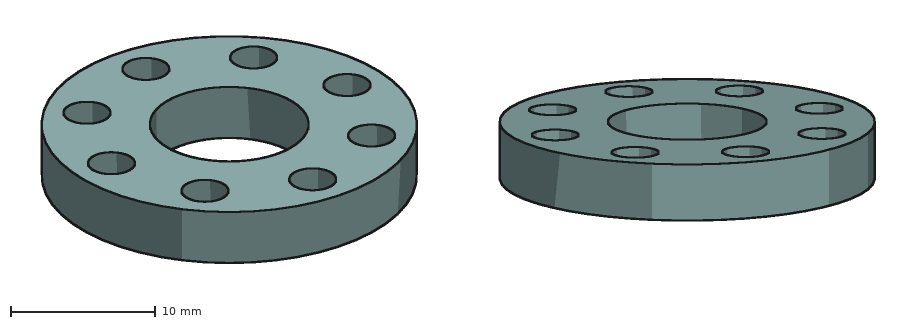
import cadquery as cq

outer_diameter = 26.0
thickness = 4.0
bore_diameter = 11.0

bolt_hole_count = 8
bolt_hole_diameter = 3.25
bolt_circle_diameter = 20.0

ring = (
    cq.Workplane("XY")
    .circle(outer_diameter / 2)
    .circle(bore_diameter / 2)
    .extrude(thickness)
)

bolt_holes = (
    cq.Workplane("XY")
    .polarArray(bolt_circle_diameter / 2, 0, 360, bolt_hole_count)
    .circle(bolt_hole_diameter / 2)
    .extrude(thickness)
)

result = ring.cut(bolt_holes)